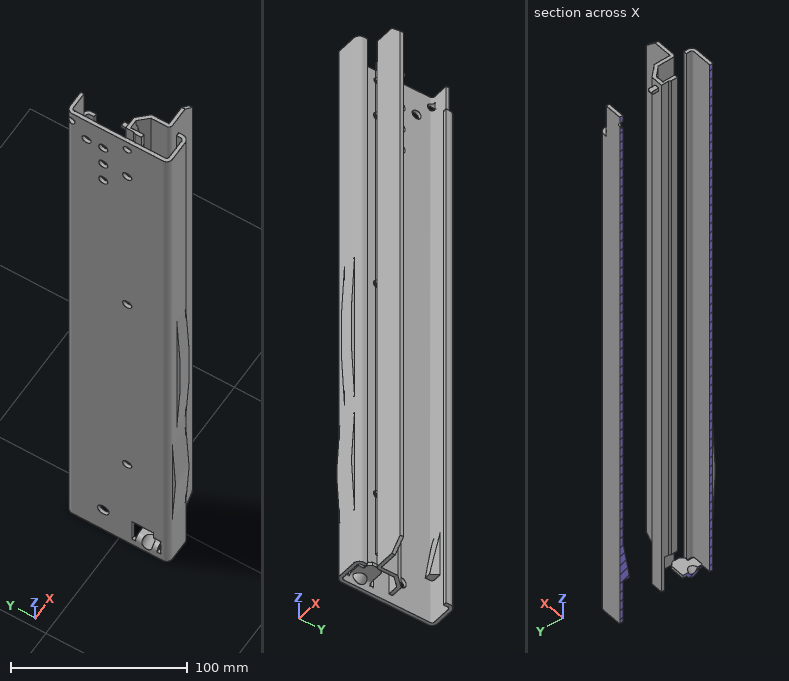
import cadquery as cq
import math

length = 400.0
sheet = 2.5
overlap = 0.5

channel_width = 69.0
channel_depth = 21.0
corner_radius = 4.0
lip_height = 7.0
notch_start_x = 15.0
notch_length = 24.0

ramp_height = 2.0
ramp_end_x = 18.0
upper_ramp = (8.5, (127.0, 161.0, 197.0, 232.0))
lower_ramp = (3.5, (40.5, 74.0, 80.0, 114.0))

system_pitch = 16.0
system_hole_count = 3
rail_hole_diameter = 6.0
top_hole_z = 381.5
inner_row_y = 44.0
outer_hole_y = 55.0
pin_row_y = 28.0
pin_row_z = (77.5, 237.5, 365.5)
end_hole_z = 392.5
end_hole_diameter = 5.0
corner_hole_y = 65.5
mounting_hole_diameter = 7.5
mounting_hole_z = 19.5

window_low_y = 5.5
window_high_y = 25.0
window_step_y = 10.5
window_bottom_z = 5.5
window_step_z = 18.0
window_top_z = 23.0
tab_low_y = 8.0
tab_step_y = 12.0
tab_high_y = 22.5
tab_short_reach = 11.0
tab_reach = 15.5
tab_top_z = 9.5
tab_corner = 2.5
tab_bend_radius = tab_top_z - window_bottom_z

gusset_y = 15.0
groove_radius = 3.5
rib_radius = 5.5
gusset_foot_z = 3.0

stop_reach = 9.5
stop_root = 6.5
stop_drop = 7.5
stop_bottom_z = 32.0
stop_height = 32.0

hat_left_x = 8.0
hat_top_y = 34.0
hat_right_x = 23.5
hat_end_x = 45.0
flange_top_y = 15.0
leg_end_y = 23.0
leg_jog = 1.0
leg_jog_y = 29.0
leg_jog_run = 1.5
leg_bottom_z = 26.0
slope_start_x = 16.5
slope_end_y = 26.5
end_chamfer = 8.0

lug_top_z = 396.0
lug_x = 10.5
lug_width = 3.0
lug_rise = 5.0
tongue_x = 12.0
tongue_width = 4.0
tongue_drop = 6.0
tongue_height = 24.0


def box(x_range, y_range, z_range):
    """Axis-aligned block between pairs of limits."""
    sizes = [high - low for low, high in (x_range, y_range, z_range)]
    return cq.Workplane("XY").box(*sizes, centered=False).translate((x_range[0], y_range[0], z_range[0]))


def side_prism(points, start_x, end_x):
    """Extrude a (y, z) outline from start_x to end_x."""
    return cq.Workplane("YZ").workplane(offset=start_x).polyline(points).close().extrude(end_x - start_x)


def wall_hole(diameter, y, z):
    """Cutter for a round hole along X, starting outside the channel wall."""
    return (
        cq.Workplane("YZ", origin=(-overlap, 0, 0))
        .center(y, z)
        .circle(diameter / 2)
        .extrude(2 * sheet + overlap)
    )


def channel_profile():
    """Lipped C section with rounded bends."""
    outer = box((0, channel_depth), (0, channel_width), (0, length))
    outer = outer.edges("|Z").fillet(corner_radius)
    inner = box((sheet, channel_depth - sheet), (sheet, channel_width - sheet), (0, length))
    inner = inner.edges("|Z").fillet(corner_radius - sheet)
    mouth = box(
        (channel_depth - sheet - overlap, channel_depth + overlap),
        (lip_height, channel_width - lip_height),
        (0, length),
    )
    return outer.cut(inner).cut(mouth)


def lip_notch():
    """Cutter that clears the lip at the upper end of the upper flange."""
    return box(
        (notch_start_x, channel_depth),
        (channel_width - lip_height, channel_width),
        (length - notch_length, length),
    )


def flange_ramp(start_x, heights):
    """Ramp on the outside of the lower flange."""
    bottom, crest_low, crest_high, top = heights
    outline = [
        (sheet, bottom),
        (0, bottom),
        (-ramp_height, crest_low),
        (-ramp_height, crest_high),
        (0, top),
        (sheet, top),
    ]
    return side_prism(outline, start_x, ramp_end_x)


def wall_window():
    """Cutter for the stepped window."""
    outline = [
        (window_low_y, window_bottom_z),
        (window_high_y, window_bottom_z),
        (window_high_y, window_top_z),
        (window_step_y, window_top_z),
        (window_step_y, window_step_z),
        (window_low_y, window_step_z),
    ]
    return side_prism(outline, -overlap, sheet + overlap)


def bent_tab():
    """Tab that curves from the wall into the channel, with a stepped outline."""
    inner_radius = tab_bend_radius - sheet
    diagonal = math.sqrt(0.5)
    bend_mid = tab_bend_radius * (1 - diagonal)
    inner_mid = tab_bend_radius - inner_radius * diagonal
    section = (
        cq.Workplane("XZ", origin=(0, tab_high_y, 0))
        .moveTo(0, window_bottom_z)
        .threePointArc((bend_mid, tab_top_z - bend_mid), (tab_bend_radius, tab_top_z))
        .lineTo(tab_reach, tab_top_z)
        .lineTo(tab_reach, tab_top_z - sheet)
        .lineTo(tab_bend_radius, tab_top_z - sheet)
        .threePointArc((inner_mid, tab_top_z - inner_mid), (sheet, window_bottom_z))
        .lineTo(sheet, window_bottom_z - overlap)
        .lineTo(0, window_bottom_z - overlap)
        .close()
        .extrude(tab_high_y - tab_low_y)
    )
    plan = (
        cq.Workplane("XY")
        .polyline([
            (0, tab_low_y),
            (tab_short_reach, tab_low_y),
            (tab_short_reach, tab_step_y),
            (tab_reach - tab_corner, tab_step_y),
            (tab_reach, tab_step_y + tab_corner),
            (tab_reach, tab_high_y - tab_corner),
            (tab_reach - tab_corner, tab_high_y),
            (0, tab_high_y),
        ])
        .close()
        .extrude(window_top_z)
    )
    return section.intersect(plan)


def gusset_rod(radius):
    """Round rod across the tab bend, rising at 45 degrees into the channel."""
    axis_z = gusset_foot_z + groove_radius * math.sqrt(2)
    plane = cq.Plane(origin=(0, gusset_y, axis_z), xDir=(0, 1, 0), normal=(1, 0, 1))
    return cq.Workplane(plane).circle(radius).extrude(tab_reach, both=True)


def add_gusset(body):
    """Rib inside the tab bend with a round groove pressed into the outside."""
    inside_bend = box(
        (sheet - overlap, tab_reach),
        (tab_low_y, tab_high_y),
        (0, tab_top_z - sheet + overlap),
    )
    rib = gusset_rod(rib_radius).intersect(inside_bend)
    return body.union(rib).cut(gusset_rod(groove_radius))


def corner_stop():
    """Stop in the corner of wall and upper flange, tapering upward into the flange."""
    flange_y = channel_width - sheet
    plan = (
        cq.Workplane("XY", origin=(0, 0, stop_bottom_z))
        .polyline([
            (sheet - overlap, flange_y + overlap),
            (stop_reach, flange_y + overlap),
            (stop_reach, flange_y),
            (stop_root, channel_width - stop_drop),
            (sheet - overlap, channel_width - stop_drop),
        ])
        .close()
        .extrude(stop_height)
    )
    taper = side_prism(
        [
            (channel_width - stop_drop, stop_bottom_z),
            (flange_y + overlap, stop_bottom_z),
            (flange_y + overlap, stop_bottom_z + stop_height),
            (flange_y, stop_bottom_z + stop_height),
        ],
        0,
        stop_reach,
    )
    return plan.intersect(taper)


def make_channel():
    body = channel_profile()
    for start_x, heights in (upper_ramp, lower_ramp):
        body = body.union(flange_ramp(start_x, heights))
    body = body.union(corner_stop()).cut(lip_notch())

    for step in range(system_hole_count):
        body = body.cut(wall_hole(rail_hole_diameter, inner_row_y, top_hole_z - step * system_pitch))
    for z in pin_row_z:
        body = body.cut(wall_hole(rail_hole_diameter, pin_row_y, z))
    body = body.cut(wall_hole(rail_hole_diameter, outer_hole_y, top_hole_z))
    body = body.cut(wall_hole(end_hole_diameter, pin_row_y, end_hole_z))
    body = body.cut(wall_hole(mounting_hole_diameter, inner_row_y, mounting_hole_z))
    body = body.cut(wall_hole(end_hole_diameter, corner_hole_y, end_hole_z))

    body = body.cut(wall_window()).union(bent_tab())
    return add_gusset(body)


def hat_profile():
    """Hat section: free leg, flat top, slope, upright and wide flange."""
    inner_left = hat_left_x + sheet - leg_jog
    inner_right = hat_right_x - sheet
    inner_top = hat_top_y - sheet
    slope_angle = math.atan2(hat_top_y - slope_end_y, hat_right_x - slope_start_x)
    top_shift = sheet * math.tan(slope_angle / 2)
    side_shift = sheet * math.tan((math.pi / 2 - slope_angle) / 2)
    return (
        cq.Workplane("XY")
        .polyline([
            (hat_left_x, hat_top_y),
            (slope_start_x, hat_top_y),
            (hat_right_x, slope_end_y),
            (hat_right_x, flange_top_y),
            (hat_end_x, flange_top_y),
            (hat_end_x, flange_top_y - sheet),
            (inner_right, flange_top_y - sheet),
            (inner_right, slope_end_y - side_shift),
            (slope_start_x - top_shift, inner_top),
            (inner_left, inner_top),
            (inner_left, leg_end_y),
            (hat_left_x - leg_jog, leg_end_y),
            (hat_left_x - leg_jog, leg_jog_y - leg_jog_run),
            (hat_left_x, leg_jog_y),
        ])
        .close()
        .extrude(length)
    )


def flange_bend_round():
    """Cutter that rounds the outside of the bend between upright and flange."""
    corner_x = hat_right_x - sheet
    corner_y = flange_top_y - sheet
    square = box((corner_x, corner_x + sheet), (corner_y, corner_y + sheet), (0, length))
    disc = cq.Workplane("XY").center(corner_x + sheet, corner_y + sheet).circle(sheet).extrude(length)
    return square.cut(disc)


def flange_corner(end_z, inward):
    """Cutter for the chamfer at one end of the wide flange."""
    return (
        cq.Workplane("XZ", origin=(0, flange_top_y, 0))
        .polyline([
            (hat_end_x - end_chamfer, end_z),
            (hat_end_x, end_z),
            (hat_end_x, end_z + inward * end_chamfer),
        ])
        .close()
        .extrude(sheet)
    )


def hat_lug():
    """Rounded lug rising from the hat top."""
    lug = box(
        (lug_x, lug_x + lug_width),
        (hat_top_y - overlap, hat_top_y + lug_rise),
        (lug_top_z - sheet, lug_top_z),
    )
    return lug.edges(">Y and |X").fillet(sheet / 3)


def hat_tongue():
    """Steep tongue pressed inward from the hat top."""
    inner_top = hat_top_y - sheet
    outline = [
        (inner_top + overlap, lug_top_z),
        (inner_top, lug_top_z),
        (inner_top - tongue_drop, lug_top_z - tongue_height),
        (inner_top + overlap, lug_top_z - tongue_height),
    ]
    return side_prism(outline, tongue_x, tongue_x + tongue_width)


def make_hat_rail():
    body = hat_profile().cut(flange_bend_round())
    for end_z, inward in ((0, 1), (length, -1)):
        body = body.cut(flange_corner(end_z, inward))
    leg_cut = box((0, hat_left_x + sheet), (leg_end_y, hat_top_y - sheet), (0, leg_bottom_z))
    return body.cut(leg_cut).union(hat_lug()).union(hat_tongue())


channel = make_channel()
hat_rail = make_hat_rail()

result = cq.Compound.makeCompound([channel.solids().val(), hat_rail.solids().val()])